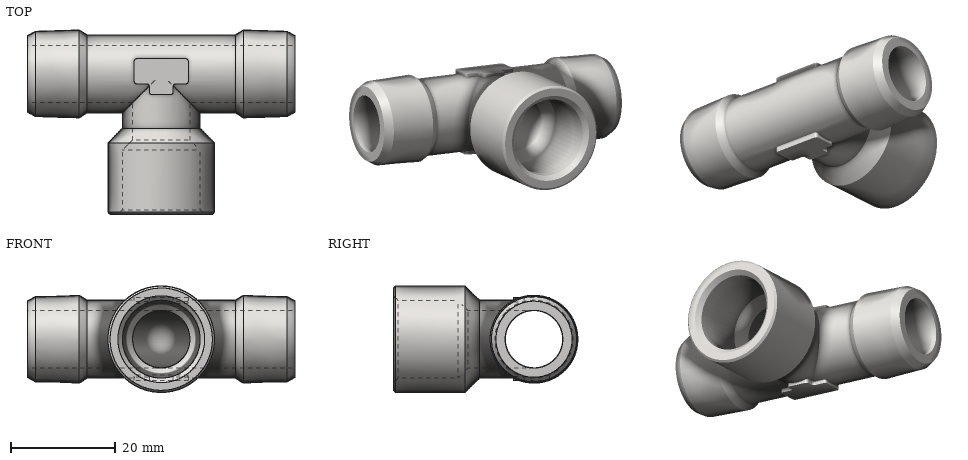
import cadquery as cq

run_length = 51.5
tube_diameter = 15.0
bore_diameter = 11.0
end_face_diameter = 14.65
end_chamfer_diameter = 16.4
end_chamfer_length = 1.6
collar_diameter = 16.9
collar_peak_distance = 10.0
collar_back_distance = 11.5

branch_reach = 27.0
socket_diameter = 20.5
neck_end = 10.45
socket_start = 13.3
rim_chamfer = 0.4

mouth_diameter = 16.7
socket_hole_diameter = 14.95
mouth_chamfer_length = (mouth_diameter - socket_hole_diameter) / 2
socket_hole_depth = 12.35
hole_cone_length = (socket_hole_diameter - bore_diameter) / 2

pad_half_height = 8.0
bar_width = 10.4
bar_back = 2.95
bar_front = -1.9
stem_width = 4.6
stem_front = -3.95
pad_corner_radius = 0.5


def revolve_x(profile):
    """Revolve (x, radius) points about the X axis."""
    return cq.Workplane("XY").polyline(profile).close().revolve(360, (0, 0), (1, 0))


def revolve_branch(profile):
    """Revolve (distance, radius) points about the branch axis."""
    points = [(radius, -distance) for distance, radius in profile]
    return cq.Workplane("XY").polyline(points).close().revolve(360, (0, 0), (0, 1))


def make_run():
    half = run_length / 2
    left_end = [
        (-half, end_face_diameter / 2),
        (-half + end_chamfer_length, end_chamfer_diameter / 2),
        (-half + collar_peak_distance, collar_diameter / 2),
        (-half + collar_back_distance, tube_diameter / 2),
    ]
    right_end = [(-x, radius) for x, radius in reversed(left_end)]
    return revolve_x([(-half, 0)] + left_end + right_end + [(half, 0)])


def make_branch():
    return revolve_branch([
        (0, 0),
        (0, tube_diameter / 2),
        (neck_end, tube_diameter / 2),
        (socket_start, socket_diameter / 2),
        (branch_reach - rim_chamfer, socket_diameter / 2),
        (branch_reach, socket_diameter / 2 - rim_chamfer),
        (branch_reach, 0),
    ])


def make_pads():
    half_bar = bar_width / 2
    half_stem = stem_width / 2
    outline = [
        (-half_bar, bar_back),
        (half_bar, bar_back),
        (half_bar, bar_front),
        (half_stem, bar_front),
        (half_stem, stem_front),
        (-half_stem, stem_front),
        (-half_stem, bar_front),
        (-half_bar, bar_front),
    ]
    pads = cq.Workplane("XY").polyline(outline).close().extrude(pad_half_height, both=True)
    return pads.edges("|Z").fillet(pad_corner_radius)


def make_run_bore():
    return cq.Workplane("YZ").circle(bore_diameter / 2).extrude(run_length / 2, both=True)


def make_branch_hole():
    hole_floor = branch_reach - socket_hole_depth
    return revolve_branch([
        (0, 0),
        (0, bore_diameter / 2),
        (hole_floor - hole_cone_length, bore_diameter / 2),
        (hole_floor, socket_hole_diameter / 2),
        (branch_reach - mouth_chamfer_length, socket_hole_diameter / 2),
        (branch_reach, mouth_diameter / 2),
        (branch_reach, 0),
    ])


body = make_run().union(make_branch()).union(make_pads())
result = body.cut(make_run_bore()).cut(make_branch_hole())